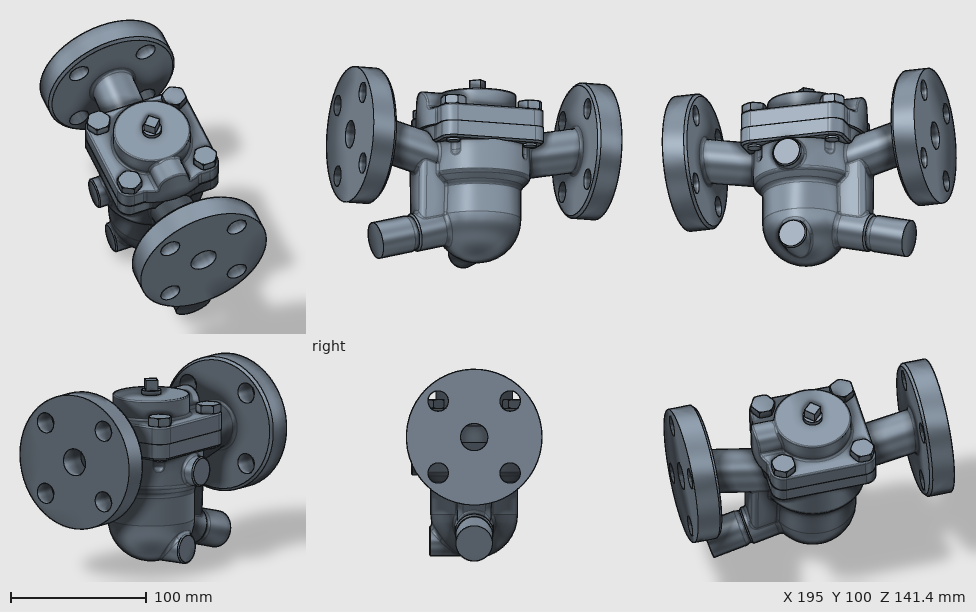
import cadquery as cq
import math


flange_diameter = 100.0
flange_thickness = 18.5
flange_chamfer = 2.0
flange_bore = 20.0
flange_bore_depth = 21.5
flange_hole = 15.0
flange_hole_circle = 74.9
length = 195.0
inlet_face_x = -95.0
outlet_face_x = inlet_face_x + length
inlet_back_x = inlet_face_x + flange_thickness
outlet_back_x = outlet_face_x - flange_thickness

pipe_diameter = 32.0
inlet_pipe_slope = 11.0
outlet_pipe_slope = 14.5
pipe_overlap = 7.8
pipe_fillet = 2.3

bowl_radius = 32.0
bowl_center_z = -57.0
collar_radius = 38.6
collar_bottom_z = -27.5
collar_fillet = 3.9
neck_fillet = 5.3

plate_bottom_z = -4.0
plate_top_z = 8.2
plate_side = 79.2
plate_shift_x = -0.4
plate_corner = 9.2
plate_lobe_radius = 42.9
plate_chamfer = 1.5
cover_top_z = 21.0
cover_side = 79.5
cover_corner = 9.8
cover_lobe_radius = 45.2
cover_edge_fillet = 1.2
lobe_half_width = 23.4
lobe_fillet = 5.8

cap_diameter = 56.5
cap_top_z = 36.0
cap_edge_fillet = 1.0
cap_base_fillet = 1.8
hump_radius = 12.3
hump_fillet = 2.1
stem_disc_diameter = 14.0
stem_disc_top_z = 39.2
stem_square = 8.8
stem_top_z = 46.8

bolt_offset = 30.0
bolt_diameter = 10.0
bolt_end_z = -5.7
bolt_head_flats = 16.0
bolt_head_height = 6.5
bolt_head_chamfer = 0.8
relief_diameter = 11.3
relief_shoulder_z = -11.0
relief_edge_fillet = 1.0

plug_diameter = 22.0
plug_chamfer = 1.0
upper_plug_z = -17.0
upper_plug_y = -46.2
lower_plug_z = -76.5
lower_plug_y = -33.0
upper_plug_fillet = 2.0
lower_plug_fillet = 3.0

drain_slope = 15.0
drain_length = 82.7
drain_diameter = 27.0
drain_neck_diameter = 28.0
drain_groove_diameter = 25.2
drain_neck_end = 51.5
drain_groove_start = 52.8
drain_groove_end = 53.8
drain_tail_start = 56.7
drain_fillet = 3.9

rib_end_x = 49.1
rib_bottom_thickness = 23.8
rib_top_thickness = 28.5
rib_corner = 4.3
rib_top_z = -11.7
rib_bottom_z = -67.3
rib_fillet = 2.3


def round_seam(combined, first, second, fillet_radius):
    """Round the edges of a combined body that lie on both of the bodies it was made from."""
    tolerance = 0.002

    def on_seam(edge):
        middle = cq.Vertex.makeVertex(*edge.positionAt(0.5).toTuple())
        return all(shell.distance(middle) < tolerance for shell in shells)

    shells = [cq.Compound.makeCompound(solid.faces().vals()) for solid in (first, second)]
    seam = [edge for edge in combined.edges().vals() if on_seam(edge)]
    return combined.newObject(seam).fillet(fillet_radius)


def join(base, addition, fillet_radius):
    return round_seam(base.union(addition), base, addition, fillet_radius)


def cut_rounded(base, tool, fillet_radius):
    return round_seam(base.cut(tool), base, tool, fillet_radius)


def cylinder_z(diameter, bottom_z, top_z):
    return cq.Workplane("XY").workplane(offset=bottom_z).circle(diameter / 2).extrude(top_z - bottom_z)


def rod(diameter, start, direction, rod_length):
    return cq.Workplane(cq.Solid.makeCylinder(diameter / 2, rod_length, start, direction))


def downward(slope, x_sign):
    angle = math.radians(slope)
    return cq.Vector(x_sign * math.cos(angle), 0, -math.sin(angle))


def bowl():
    bottom_z = bowl_center_z - bowl_radius
    shoulder_z = collar_bottom_z - (collar_radius - bowl_radius)
    lower_mid = bowl_radius * math.sqrt(0.5)
    profile = (
        cq.Workplane("XZ")
        .moveTo(0, plate_top_z)
        .lineTo(collar_radius, plate_top_z)
        .lineTo(collar_radius, collar_bottom_z)
        .lineTo(bowl_radius, shoulder_z)
        .lineTo(bowl_radius, bowl_center_z)
        .threePointArc((lower_mid, bowl_center_z - lower_mid), (0, bottom_z))
        .close()
    )
    solid = profile.revolve(360, (0, 0, 0), (0, 1, 0))

    def ring_at(z):
        band = 0.2
        side = 2 * collar_radius
        return cq.selectors.BoxSelector((-side, -side, z - band), (side, side, z + band))

    solid = solid.edges(ring_at(collar_bottom_z)).fillet(collar_fillet)
    return solid.edges(ring_at(shoulder_z)).fillet(neck_fillet)


def plug(center_z, face_y):
    solid = cq.Workplane("XZ").center(0, center_z).circle(plug_diameter / 2).extrude(-face_y)
    return solid.faces("<Y").chamfer(plug_chamfer)


def drain():
    profile = [
        (0, 0),
        (drain_neck_diameter / 2, 0),
        (drain_neck_diameter / 2, drain_neck_end),
        (drain_groove_diameter / 2, drain_groove_start),
        (drain_groove_diameter / 2, drain_groove_end),
        (drain_diameter / 2, drain_tail_start),
        (drain_diameter / 2, drain_length),
        (0, drain_length),
    ]
    solid = cq.Workplane("XZ").polyline(profile).close().revolve(360, (0, 0, 0), (0, 1, 0))
    solid = solid.rotate((0, 0, 0), (0, 1, 0), 90 + drain_slope)
    return solid.translate((0, 0, bowl_center_z))


def rib():
    half_section = [
        (rib_bottom_thickness / 2, rib_bottom_z),
        (rib_top_thickness / 2, rib_top_z),
    ]
    section = half_section + [(-y, z) for y, z in reversed(half_section)]
    solid = cq.Workplane("YZ").polyline(section).close().extrude(rib_end_x)
    return solid.faces(">X").edges("not |Y").fillet(rib_corner)


def pipe(flange_back_x, slope):
    direction = downward(slope, -math.copysign(1, flange_back_x))
    start = cq.Vector(flange_back_x, 0, 0) - direction * pipe_overlap
    return rod(pipe_diameter, start, direction, abs(flange_back_x))


def outlet_pipe_blend():
    """Fillet between the outlet pipe and the lobe of the body plate, cut flush with the plate faces."""
    post_height = 2 * (plate_top_z - bowl_center_z)
    post = cq.Workplane("XY").circle(plate_lobe_radius).extrude(post_height)
    post = post.translate((plate_shift_x, 0, bowl_center_z))
    blend = join(post, pipe(outlet_back_x, outlet_pipe_slope), pipe_fillet)
    slab = cq.Workplane("XY").box(
        outlet_back_x, 2 * lobe_half_width, plate_top_z - plate_bottom_z, centered=(False, True, False)
    )
    return blend.intersect(slab.translate((0, 0, plate_bottom_z)))


def flange(face_x, inward):
    solid = cq.Workplane("YZ").circle(flange_diameter / 2).extrude(inward * flange_thickness)
    return solid.faces(">X" if inward > 0 else "<X").chamfer(flange_chamfer).translate((face_x, 0, 0))


def flange_cuts(face_x, inward):
    cuts = cq.Workplane("YZ").circle(flange_bore / 2).extrude(inward * flange_bore_depth)
    holes = (
        cq.Workplane("YZ")
        .polarArray(flange_hole_circle / 2, 45, 360, 4)
        .circle(flange_hole / 2)
        .extrude(inward * flange_thickness)
    )
    return cuts.union(holes).translate((face_x, 0, 0))


def lobed_plate(side, corner, lobe_radius, bottom_z, top_z):
    """Square plate with a rounded lobe that stands out on the +X side."""
    height = top_z - bottom_z
    square = cq.Workplane("XY").rect(side, side).extrude(height).edges("|Z").fillet(corner)
    strip = cq.Workplane("XY").box(
        lobe_radius, 2 * lobe_half_width, height, centered=(False, True, False)
    )
    lobe = cq.Workplane("XY").circle(lobe_radius).extrude(height).intersect(strip)
    return join(square, lobe, lobe_fillet).translate((0, 0, bottom_z))


def hump():
    """Round-topped ridge along +X whose feet flare into the cover, trimmed to the cover lobe."""
    foot = hump_radius + hump_fillet
    wall_bottom_z = cover_top_z + hump_fillet
    flare = hump_fillet * (1 - math.sqrt(0.5))
    ridge = (
        cq.Workplane("YZ")
        .moveTo(-foot, plate_top_z)
        .lineTo(-foot, cover_top_z)
        .threePointArc((-hump_radius - flare, cover_top_z + flare), (-hump_radius, wall_bottom_z))
        .threePointArc((0, wall_bottom_z + hump_radius), (hump_radius, wall_bottom_z))
        .threePointArc((hump_radius + flare, cover_top_z + flare), (foot, cover_top_z))
        .lineTo(foot, plate_top_z)
        .close()
        .extrude(cover_lobe_radius)
    )
    return ridge.intersect(cylinder_z(2 * cover_lobe_radius, plate_top_z, cap_top_z))


def cover():
    solid = lobed_plate(cover_side, cover_corner, cover_lobe_radius, plate_top_z, cover_top_z)
    solid = solid.union(hump())
    solid = solid.faces("+Z").edges("<X").fillet(cover_edge_fillet)
    cap = cylinder_z(cap_diameter, plate_top_z + 2, cap_top_z).faces(">Z").edges().fillet(cap_edge_fillet)
    solid = join(solid, cap, cap_base_fillet)
    solid = solid.union(cylinder_z(stem_disc_diameter, cap_top_z, stem_disc_top_z))
    square = (
        cq.Workplane("XY")
        .workplane(offset=stem_disc_top_z)
        .transformed(rotate=(0, 0, 45))
        .rect(stem_square, stem_square)
        .extrude(stem_top_z - stem_disc_top_z)
    )
    return solid.union(square)


def bolt(corner_turn):
    corner_diameter = bolt_head_flats / math.cos(math.pi / 6)
    head = cq.Workplane("XY").polygon(6, corner_diameter).extrude(bolt_head_height)
    head = head.rotate((0, 0, 0), (0, 0, 1), corner_turn)
    envelope = cq.Workplane("XY").circle(corner_diameter / 2).extrude(bolt_head_height)
    head = head.intersect(envelope.edges().chamfer(bolt_head_chamfer))
    shank = cylinder_z(bolt_diameter, bolt_end_z - cover_top_z, 0)
    return head.union(shank).translate((0, 0, cover_top_z))


def bolt_relief():
    drill = cylinder_z(relief_diameter, relief_shoulder_z, plate_top_z)
    ball_end = cq.Workplane("XY").sphere(relief_diameter / 2).translate((0, 0, relief_shoulder_z))
    return drill.union(ball_end)


bolt_places = [(x * bolt_offset, y * bolt_offset) for x in (-1, 1) for y in (-1, 1)]

body = bowl()
for x, y in bolt_places:
    body = cut_rounded(body, bolt_relief().translate((x, y, 0)), relief_edge_fillet)
body = join(body, plug(upper_plug_z, upper_plug_y), upper_plug_fillet)
body = join(body, plug(lower_plug_z, lower_plug_y), lower_plug_fillet)
body = join(body, drain(), drain_fillet)
body = join(body, rib(), rib_fillet)
plate = lobed_plate(plate_side, plate_corner, plate_lobe_radius, plate_bottom_z, plate_top_z)
plate = plate.faces("<Z").edges().chamfer(plate_chamfer).translate((plate_shift_x, 0, 0))
body = join(body, pipe(outlet_back_x, outlet_pipe_slope), pipe_fillet)
body = join(body, pipe(inlet_back_x, inlet_pipe_slope), pipe_fillet)
body = join(body, flange(inlet_face_x, 1), pipe_fillet)
body = join(body, flange(outlet_face_x, -1), pipe_fillet)
body = body.cut(flange_cuts(inlet_face_x, 1))
body = body.cut(flange_cuts(outlet_face_x, -1))

body = body.union(plate).union(outlet_pipe_blend()).union(cover())

for x, y in bolt_places:
    corner_turn = 90 if x * y > 0 else 0
    body = body.union(bolt(corner_turn).translate((x, y, 0)))

result = body